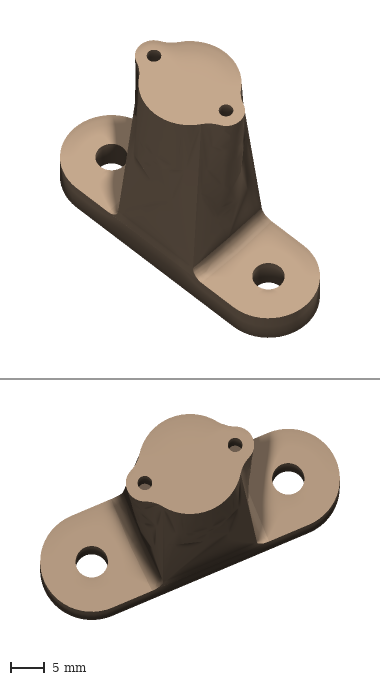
import cadquery as cq
import math

base_length = 47.4
base_width = 15.4
base_thickness = 5.02
mount_hole_diameter = 4.85
end_radius = base_width / 2
mount_hole_x = base_length / 2 - end_radius

total_height = 39.5
foot_half = base_width / 2
head_radius = base_width / 2
lug_x = 7.35
lug_radius = 2.85
neck_radius = 5.0
foot_fillet = 1.9

pin_hole_diameter = 2.2
pin_hole_depth = 4.75

head_to_neck = head_radius + neck_radius
lug_to_neck = lug_radius + neck_radius
neck_x = (head_to_neck**2 - lug_to_neck**2 + lug_x**2) / (2 * lug_x)
neck_y = math.sqrt(head_to_neck**2 - neck_x**2)

head_angle = math.atan2(neck_y, neck_x)
lug_angle = math.atan2(neck_y, neck_x - lug_x)

arc_steps = 6


def polar(center_x, center_y, radius, angle):
    """Point at the given radius and angle from a centre."""
    return (center_x + radius * math.cos(angle), center_y + radius * math.sin(angle))


def arc_points(center_x, center_y, radius, start_angle, end_angle):
    """Evenly spaced points along an arc, leaving out its start point."""
    step = (end_angle - start_angle) / arc_steps
    return [polar(center_x, center_y, radius, start_angle + i * step) for i in range(1, arc_steps + 1)]


def make_foot():
    """Square outline, one edge per side of the post."""
    return (
        cq.Workplane("XY")
        .workplane(offset=base_thickness)
        .moveTo(foot_half, -foot_half)
        .lineTo(foot_half, foot_half)
        .lineTo(-foot_half, foot_half)
        .lineTo(-foot_half, -foot_half)
        .close()
        .val()
    )


def make_head():
    """Two head arcs joined by a smooth curve around each lug: neck arc, lug arc, neck arc."""
    lug_curve = [polar(0, 0, head_radius, -head_angle)]
    lug_curve += arc_points(neck_x, -neck_y, neck_radius, math.pi - head_angle, math.pi - lug_angle)
    lug_curve += arc_points(lug_x, 0, lug_radius, -lug_angle, lug_angle)
    lug_curve += arc_points(neck_x, neck_y, neck_radius, math.pi + lug_angle, math.pi + head_angle)
    opposite_lug_curve = [(-x, -y) for x, y in lug_curve]
    start_tangent = (math.sin(head_angle), math.cos(head_angle))
    end_tangent = (-math.sin(head_angle), math.cos(head_angle))
    opposite_tangents = [(-x, -y) for x, y in (start_tangent, end_tangent)]
    return (
        cq.Workplane("XY")
        .workplane(offset=total_height)
        .moveTo(*lug_curve[0])
        .spline(lug_curve, tangents=[start_tangent, end_tangent])
        .threePointArc((0, head_radius), opposite_lug_curve[0])
        .spline(opposite_lug_curve, tangents=opposite_tangents)
        .threePointArc((0, -head_radius), lug_curve[0])
        .wire()
        .val()
    )


base = cq.Workplane("XY").slot2D(base_length, base_width).extrude(base_thickness)
post = cq.Solid.makeLoft([make_foot(), make_head()], True)
body = base.union(cq.Workplane(post))

edge_reach = 0.05
for side in (-1, 1):
    foot_edges = cq.selectors.BoxSelector(
        (side * foot_half - edge_reach, -base_width, base_thickness - edge_reach),
        (side * foot_half + edge_reach, base_width, base_thickness + edge_reach),
    )
    body = body.edges(foot_edges).fillet(foot_fillet)

mount_holes = (
    cq.Workplane("XY")
    .pushPoints([(-mount_hole_x, 0), (mount_hole_x, 0)])
    .circle(mount_hole_diameter / 2)
    .extrude(base_thickness)
)

pin_holes = (
    cq.Workplane("XY")
    .workplane(offset=total_height - pin_hole_depth)
    .pushPoints([(-lug_x, 0), (lug_x, 0)])
    .circle(pin_hole_diameter / 2)
    .extrude(pin_hole_depth)
)

drilled = body.cut(mount_holes).cut(pin_holes)

result = cq.Workplane(drilled.val().fix().Solids()[0])